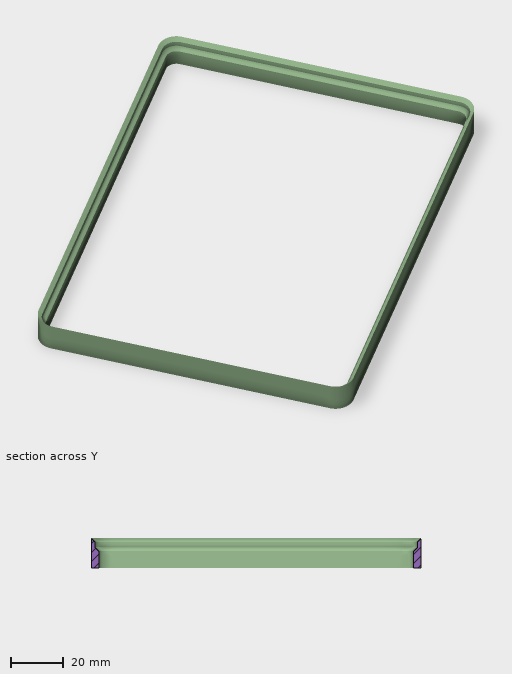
import cadquery as cq

WIDTH = 125.0
LENGTH = 167.0
HEIGHT = 11.5
CORNER_RADIUS = 7.2

WALL = 3.0
LEDGE_WIDTH = WALL / 2
LEDGE_DROP = LEDGE_WIDTH
STEP_HEIGHT = 2.0

STEP_TOP = HEIGHT - LEDGE_DROP
STEP_BOTTOM = STEP_TOP - STEP_HEIGHT
INNER_WALL_TOP = STEP_BOTTOM - LEDGE_DROP


def rounded_outline(inset, height):
    """Rounded rectangle parallel to the outer edge, at the given height."""
    return (
        cq.Sketch()
        .rect(WIDTH - 2 * inset, LENGTH - 2 * inset)
        .vertices()
        .fillet(CORNER_RADIUS - inset)
        .moved(cq.Location(cq.Vector(0, 0, height)))
    )


def straight_block(inset, bottom, top):
    """Vertical-sided rounded block between two heights."""
    return cq.Workplane("XY").placeSketch(rounded_outline(inset, bottom)).extrude(top - bottom)


def sloped_block(bottom_inset, bottom, top_inset, top):
    """Rounded block whose sides slope between two insets."""
    return (
        cq.Workplane("XY")
        .placeSketch(rounded_outline(bottom_inset, bottom), rounded_outline(top_inset, top))
        .loft(ruled=True)
    )


opening = (
    straight_block(WALL, 0, INNER_WALL_TOP)
    .union(sloped_block(WALL, INNER_WALL_TOP, LEDGE_WIDTH, STEP_BOTTOM))
    .union(straight_block(LEDGE_WIDTH, STEP_BOTTOM, STEP_TOP))
    .union(sloped_block(LEDGE_WIDTH, STEP_TOP, 0, HEIGHT))
)

result = straight_block(0, 0, HEIGHT).cut(opening)